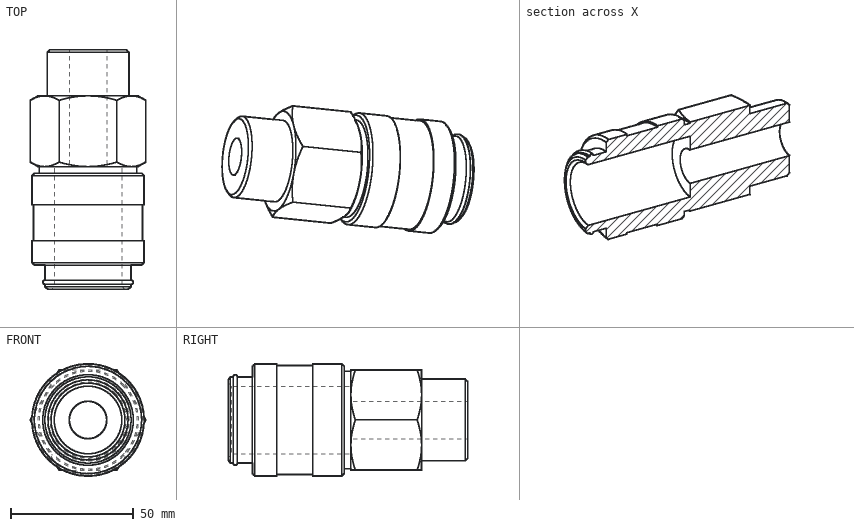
import cadquery as cq
import math

length = 98.0

sleeve_front = 9.9
waist_front = 19.9
waist_back = 34.5
sleeve_back = 47.5
hex_front = 50.2
hex_back = 79.1

nose_radius = 17.6
sleeve_radius = 22.98
waist_radius = 22.3
neck_radius = 20.0
spigot_radius = 16.8

hex_across_corners = 47.3
hex_chamfer_angle = 30.0

nose_chamfer_length = 1.0
nose_chamfer_depth = 1.3
sleeve_chamfer = 1.1
spigot_chamfer = 1.2
bore_chamfer = 1.3

ring_position = 2.9
ring_wire_radius = 0.9

bore_radius = 13.8
bore_depth = hex_front
through_hole_radius = 7.595


def cylinder(radius, start, end):
    """Cylinder along Y between two stations."""
    plane = cq.Workplane("XZ", origin=(0, start, 0))
    return plane.circle(radius).extrude(start - end)


def revolve_about_y(profile):
    """Turn an XY profile fully around the Y axis."""
    return profile.revolve(360, (0, 0, 0), (0, 1, 0))


def make_nose():
    profile = (
        cq.Workplane("XY")
        .lineTo(nose_radius - nose_chamfer_depth, 0)
        .lineTo(nose_radius, nose_chamfer_length)
        .lineTo(nose_radius, sleeve_front)
        .lineTo(0, sleeve_front)
        .close()
    )
    ring = cq.Workplane("XY").center(nose_radius, ring_position).circle(ring_wire_radius)
    ring = ring.revolve(360, (-nose_radius, 0, 0), (-nose_radius, 1, 0))
    return revolve_about_y(profile).union(ring)


def make_sleeve():
    sleeve = cylinder(sleeve_radius, sleeve_front, sleeve_back)
    sleeve = sleeve.faces("<Y or >Y").edges().chamfer(sleeve_chamfer)
    waist_groove = cylinder(sleeve_radius, waist_front, waist_back).cut(
        cylinder(waist_radius, waist_front, waist_back)
    )
    return sleeve.cut(waist_groove)


def make_hexagon():
    prism = (
        cq.Workplane("XZ", origin=(0, hex_front, 0))
        .polygon(6, hex_across_corners)
        .extrude(hex_front - hex_back)
    )
    corner_radius = hex_across_corners / 2
    flat_radius = corner_radius * math.cos(math.pi / 6)
    corner_drop = (corner_radius - flat_radius) * math.tan(math.radians(hex_chamfer_angle))
    envelope = (
        cq.Workplane("XY")
        .moveTo(0, hex_front)
        .lineTo(flat_radius, hex_front)
        .lineTo(corner_radius, hex_front + corner_drop)
        .lineTo(corner_radius, hex_back - corner_drop)
        .lineTo(flat_radius, hex_back)
        .lineTo(0, hex_back)
        .close()
    )
    return prism.intersect(revolve_about_y(envelope))


def make_spigot():
    spigot = cylinder(spigot_radius, hex_back, length)
    return spigot.faces(">Y").edges().chamfer(spigot_chamfer)


def make_bore():
    profile = (
        cq.Workplane("XY")
        .lineTo(bore_radius + bore_chamfer, 0)
        .lineTo(bore_radius, bore_chamfer)
        .lineTo(bore_radius, bore_depth)
        .lineTo(through_hole_radius, bore_depth)
        .lineTo(through_hole_radius, length)
        .lineTo(0, length)
        .close()
    )
    return revolve_about_y(profile)


neck = cylinder(neck_radius, sleeve_back, hex_front)
body = make_nose().union(make_sleeve()).union(neck)
body = body.union(make_hexagon()).union(make_spigot())
result = body.cut(make_bore())